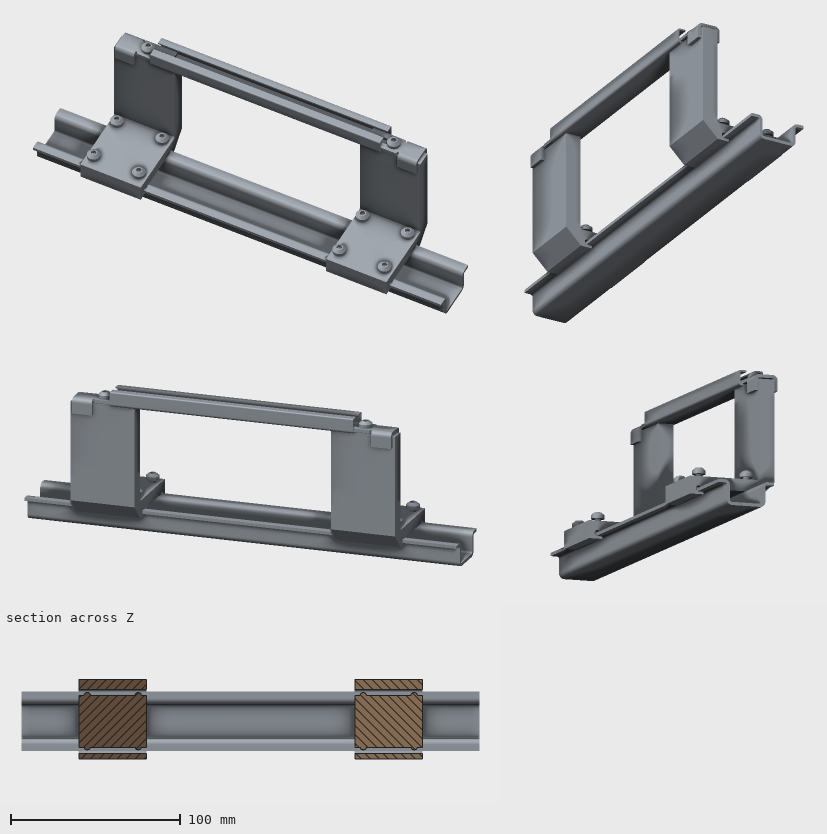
import cadquery as cq


rail_length = 270.0
rail_width = 35.0
rail_height = 15.0
rail_thickness = 2.0
hat_width = 24.3
bend_inner_radius = 1.4
bend_outer_radius = bend_inner_radius + rail_thickness

bracket_offset = 81.3
bracket_width = 40.0
foot_front_y = -22.1
foot_bottom = 11.5
foot_top = 22.5
wall_back_y = 31.3
wall_thickness = 9.7
wall_front_y = wall_back_y - wall_thickness
wall_mid_y = (wall_front_y + wall_back_y) / 2
wall_top = 83.2
heel_chamfer = 10.0
inner_corner_chamfer = 0.8

recess_mouth_width = 27.5
relief_diameter = 3.2
relief_spacing = 34.0

channel_length = 152.0
channel_mid_y = 26.2
channel_width = 15.0
channel_top = 92.3
channel_height = channel_top - wall_top
channel_thickness = 1.0
channel_mouth_width = 5.5
channel_bottom_radius = 1.5
channel_top_radius = 0.8

clip_thickness = 2.5
clip_width = wall_thickness + 2 * clip_thickness
clip_under = wall_top + channel_thickness
clip_top = 86.0
clip_bottom = 76.5
clip_radius = 3.0
clip_length = 12.5
clip_outer_offset = 18.4
tab_width = 12.0
tab_end_offset = 16.5
slot_end_offset = 12.5
slot_width = 4.0
notch_width = 1.4
notch_spacing = 9.2

screw_diameter = 4.0
head_diameter = 8.0
head_top_diameter = 4.3
head_rim_height = 2.2
head_height = 3.8
socket_diameter = 3.2
socket_depth = 2.2
foot_screw_spacing = 30.0
foot_screw_mid_y = 0.3
foot_screw_gap = 2.0

pick_margin = 0.3


def centred_bar(length, width, bottom, top):
    """Rectangular bar centred on X = 0 and Y = 0, between two heights."""
    return (
        cq.Workplane("XY")
        .box(length, width, top - bottom, centered=(True, True, False))
        .translate((0, 0, bottom))
    )


def edges_at(half_width, height):
    """Selector for the rail edges at one height and within a half-width of the middle plane."""
    half_length = rail_length / 2
    half_span = half_width + pick_margin
    return cq.selectors.BoxSelector(
        (-half_length, -half_span, height - pick_margin),
        (half_length, half_span, height + pick_margin),
    )


def make_rail():
    """Bent hat profile of constant thickness, run along X."""
    flange_bottom = rail_height - rail_thickness
    inner_width = hat_width - 2 * rail_thickness
    outer = centred_bar(rail_length, hat_width, 0, rail_height)
    outer = outer.edges("|X and <Z").fillet(bend_outer_radius)
    body = outer.union(centred_bar(rail_length, rail_width, flange_bottom, rail_height))
    body = body.edges("|X").edges(edges_at(hat_width / 2, flange_bottom)).fillet(bend_inner_radius)
    trough = centred_bar(rail_length, inner_width, rail_thickness, rail_height)
    trough = trough.edges("|X and <Z").fillet(bend_inner_radius)
    body = body.cut(trough)
    return body.edges("|X").edges(edges_at(inner_width / 2, rail_height)).fillet(bend_outer_radius)


def make_angle():
    """L-shaped bracket, centred on X = 0, with the recess for the rail flanges."""
    angle = (
        cq.Workplane("YZ")
        .moveTo(foot_front_y, foot_bottom)
        .lineTo(wall_back_y - heel_chamfer, foot_bottom)
        .lineTo(wall_back_y, foot_bottom + heel_chamfer)
        .lineTo(wall_back_y, wall_top)
        .lineTo(wall_front_y, wall_top)
        .lineTo(wall_front_y, foot_top + inner_corner_chamfer)
        .lineTo(wall_front_y - inner_corner_chamfer, foot_top)
        .lineTo(foot_front_y, foot_top)
        .close()
        .extrude(bracket_width / 2, both=True)
    )
    mouth = centred_bar(bracket_width, recess_mouth_width, foot_bottom, rail_height)
    flange_slot = centred_bar(bracket_width, rail_width, rail_height - rail_thickness, rail_height)
    reliefs = (
        cq.Workplane("YZ")
        .pushPoints([(-relief_spacing / 2, rail_height), (relief_spacing / 2, rail_height)])
        .circle(relief_diameter / 2)
        .extrude(bracket_width / 2, both=True)
    )
    return angle.cut(mouth).cut(flange_slot).cut(reliefs)


def make_clip():
    """Saddle clip with a slotted tab that reaches into the channel toward +X."""
    clip_start = -clip_outer_offset
    saddle = (
        cq.Workplane("XY")
        .box(clip_length, clip_width, clip_top - clip_bottom, centered=(False, True, False))
        .edges("|X and >Z")
        .fillet(clip_radius)
        .translate((clip_start, wall_mid_y, clip_bottom))
    )
    opening = (
        cq.Workplane("XY")
        .box(clip_length, wall_thickness, clip_under - clip_bottom, centered=(False, True, False))
        .translate((clip_start, wall_mid_y, clip_bottom))
    )
    tab_start = clip_start + clip_length
    tab = (
        cq.Workplane("XY")
        .box(tab_end_offset - tab_start, tab_width, clip_top - clip_under, centered=(False, True, False))
        .translate((tab_start, wall_mid_y, clip_under))
    )
    slot_length = slot_end_offset + slot_width / 2
    slot = (
        cq.Workplane("XY", origin=(slot_end_offset - slot_length / 2, wall_mid_y, clip_under))
        .slot2D(slot_length, slot_width)
        .extrude(clip_top - clip_under)
    )
    clip = saddle.cut(opening).union(tab).cut(slot)
    notch_depth = (tab_width - notch_spacing) / 2
    notch_offset = (tab_width + notch_spacing) / 4
    for side in (-1, 1):
        notch = (
            cq.Workplane("XY")
            .box(notch_width, notch_depth, clip_top - clip_under, centered=(False, True, False))
            .translate((tab_start, wall_mid_y + side * notch_offset, clip_under))
        )
        clip = clip.cut(notch)
    return clip


def make_screw(x, y, shank_bottom, head_bottom):
    """Button-head screw: shank, rim, tapered crown and round drive socket."""
    rim_top = head_bottom + head_rim_height
    head_top = head_bottom + head_height
    screw = (
        cq.Workplane("XZ")
        .moveTo(0, shank_bottom)
        .lineTo(screw_diameter / 2, shank_bottom)
        .lineTo(screw_diameter / 2, head_bottom)
        .lineTo(head_diameter / 2, head_bottom)
        .lineTo(head_diameter / 2, rim_top)
        .lineTo(head_top_diameter / 2, head_top)
        .lineTo(socket_diameter / 2, head_top)
        .lineTo(socket_diameter / 2, head_top - socket_depth)
        .lineTo(0, head_top - socket_depth)
        .close()
        .revolve(360, (0, 0, 0), (0, 1, 0))
    )
    return screw.translate((x, y, 0))


def make_bracket(side):
    """Bracket with its clip and screws in one piece; side is -1 for left, 1 for right."""
    bracket = make_angle().union(make_clip())
    half_spacing = foot_screw_spacing / 2
    for x in (-half_spacing, half_spacing):
        for y in (foot_screw_mid_y - half_spacing, foot_screw_mid_y + half_spacing):
            bracket = bracket.union(make_screw(x, y, rail_height, foot_top + foot_screw_gap))
    bracket = bracket.union(make_screw(0, wall_mid_y, clip_bottom, clip_top))
    if side > 0:
        bracket = bracket.mirror("YZ")
    return bracket.translate((side * bracket_offset, 0, 0))


def make_channel():
    """C-shaped channel between the brackets, open upward between its two lips."""
    lip_bottom = channel_height - channel_thickness
    channel = (
        centred_bar(channel_length, channel_width, 0, channel_height)
        .edges("|X and <Z")
        .fillet(channel_bottom_radius)
        .edges("|X and >Z")
        .fillet(channel_top_radius)
    )
    cavity_width = channel_width - 2 * channel_thickness
    cavity = centred_bar(channel_length, cavity_width, channel_thickness, lip_bottom)
    mouth = centred_bar(channel_length, channel_mouth_width, lip_bottom, channel_height)
    return channel.cut(cavity).cut(mouth).translate((0, channel_mid_y, wall_top))


rail = make_rail()
channel = make_channel()
brackets = [make_bracket(side) for side in (-1, 1)]

result = cq.Compound.makeCompound(
    [rail.val(), channel.val(), *(bracket.val() for bracket in brackets)]
)